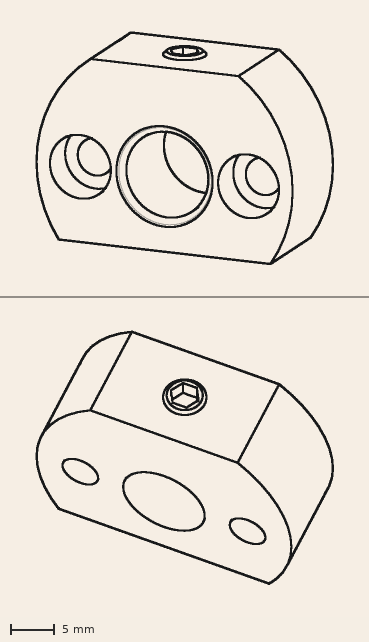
import cadquery as cq
import math

body_radius = 15.95
body_depth = 12.0
top_flat_height = 13.0
bottom_flat_height = 9.0

bore_radius = 5.1
entry_radius = 6.0
chamfer_radius = 5.77
entry_depth = 0.15
chamfer_depth = chamfer_radius - bore_radius

hole_offset = 10.45
hole_radius = 2.23
counterbore_radius = 3.8
counterbore_depth = 4.5

screw_radius = 2.5
screw_rise = 0.38
screw_chamfer_width = 0.4
socket_across_flats = 3.0
socket_depth = 1.9
socket_tip_depth = 0.65

front = -body_depth / 2
screw_top = top_flat_height + screw_rise


def cylinder_y(radius, depth, x=0.0):
    """Cylinder running back from the front face."""
    return cq.Workplane("XY").add(
        cq.Solid.makeCylinder(radius, depth, cq.Vector(x, front, 0), cq.Vector(0, 1, 0))
    )


def make_body():
    height = top_flat_height + bottom_flat_height
    middle = (top_flat_height - bottom_flat_height) / 2
    slab = cq.Workplane("XY").box(2 * body_radius, body_depth, height).translate((0, 0, middle))
    return cylinder_y(body_radius, body_depth).intersect(slab)


def make_bore():
    """Half section of the bore revolved about the Y axis."""
    return (
        cq.Workplane("XY")
        .moveTo(0, front)
        .lineTo(entry_radius, front)
        .lineTo(chamfer_radius, front + entry_depth)
        .lineTo(bore_radius, front + entry_depth + chamfer_depth)
        .lineTo(bore_radius, -front)
        .lineTo(0, -front)
        .close()
        .revolve(360, (0, 0, 0), (0, 1, 0))
    )


def make_screw_hole(x):
    counterbore = cylinder_y(counterbore_radius, counterbore_depth, x)
    return cylinder_y(hole_radius, body_depth, x).union(counterbore)


def make_screw_head():
    """Visible end of the set screw, narrowing to its top face."""
    return (
        cq.Workplane("XY", origin=(0, 0, top_flat_height))
        .circle(screw_radius)
        .workplane(offset=screw_rise)
        .circle(screw_radius - screw_chamfer_width)
        .loft()
    )


def make_socket():
    """Hexagon socket with a conical bottom."""
    corner_radius = socket_across_flats / math.sqrt(3)
    full_depth = socket_depth + socket_tip_depth
    hexagon = (
        cq.Workplane("XY", origin=(0, 0, screw_top))
        .polygon(6, 2 * corner_radius)
        .extrude(-full_depth)
    )
    drill = (
        cq.Workplane("XZ")
        .moveTo(0, screw_top)
        .lineTo(corner_radius, screw_top)
        .lineTo(corner_radius, screw_top - socket_depth)
        .lineTo(0, screw_top - full_depth)
        .close()
        .revolve(360, (0, 0, 0), (0, 1, 0))
    )
    return hexagon.intersect(drill)


result = make_body().cut(make_bore())
for side in (-1, 1):
    result = result.cut(make_screw_hole(side * hole_offset))
result = result.union(make_screw_head()).cut(make_socket())